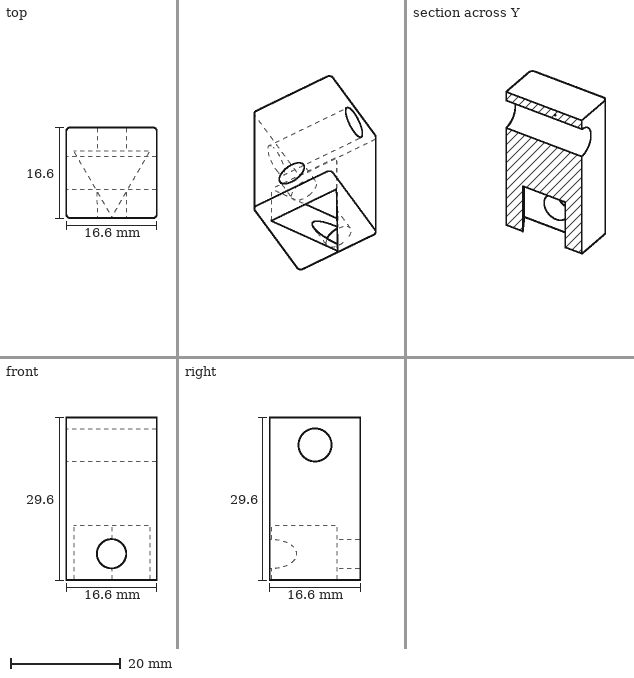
import cadquery as cq

height = 29.63
width = 16.55
corner_radius = 0.77

upper_hole_diameter = 6.0
upper_hole_drop = 5.0

lower_hole_diameter = 5.3
lower_hole_rise = 4.8

pocket_circle_diameter = 16.0
pocket_depth = 10.01
pocket_turn = -90.0


def block():
    body = cq.Workplane("XY").rect(width, width).extrude(height)
    return body.edges("|Z").fillet(corner_radius)


def cross_hole(plane, axis_height, diameter):
    """Cylinder through the whole width, square to the given vertical plane."""
    return (
        cq.Workplane(plane)
        .center(0, axis_height)
        .circle(diameter / 2)
        .extrude(width / 2, both=True)
    )


def triangular_pocket():
    return (
        cq.Workplane("XY")
        .transformed(rotate=(0, 0, pocket_turn))
        .polygon(3, pocket_circle_diameter)
        .extrude(pocket_depth)
    )


upper_hole = cross_hole("YZ", height - upper_hole_drop, upper_hole_diameter)
lower_hole = cross_hole("XZ", lower_hole_rise, lower_hole_diameter)

result = block().cut(upper_hole).cut(lower_hole).cut(triangular_pocket())